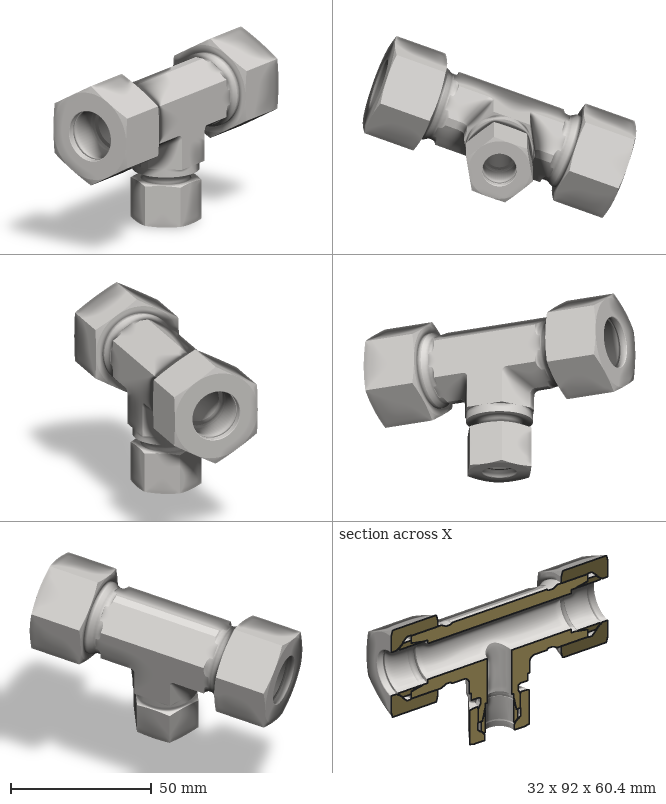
import cadquery as cq
import math


BODY_ACROSS_FLATS = 24.0
BODY_CORNER_HALF = 13.0
INNER_CORNER_RADIUS = 2.0
RUN_FLATS_END = 22.1
BRANCH_FLATS_END = 20.0
BRANCH_FLANGE_DIAMETER = 24.0

UNDERCUT_RADIUS = 1.0
UNDERCUT_LENGTH = 2.3
RUNOUT_ANGLE = 30

NUT_FACE_TO_BODY_END = 8.5
TUBE_STOP_DEPTH = 7.0
SEAT_HALF_ANGLE = 12
RING_INSERTION = 4.4
NUT_LAND_LENGTH = 2.5
NUT_TUBE_CLEARANCE = 0.1
NUT_MOUTH_CHAMFER = 0.2
RING_BACK_GAP = 0.7
NUT_CHAMFER_ANGLE = 15

RUN = {
    "shoulder": 20.1,
    "thread_diameter": 27.0,
    "undercut_diameter": 24.7,
    "bore_diameter": 15.0,
    "tube_diameter": 18.0,
    "seat_diameter": 20.3,
    "ring_diameter": 23.0,
    "nut_across_flats": 32.0,
    "nut_start": 26.0,
    "nut_end": 46.0,
}
BRANCH = {
    "shoulder": 23.0,
    "thread_diameter": 18.0,
    "undercut_diameter": 16.0,
    "bore_diameter": 10.0,
    "tube_diameter": 12.0,
    "seat_diameter": 14.3,
    "ring_diameter": 15.7,
    "nut_across_flats": 22.0,
    "nut_start": 26.5,
    "nut_end": 41.95,
}

RUN_TURNS = (-90, 90)
BRANCH_TURN = 180
CONNECTIONS = [(RUN, turn) for turn in RUN_TURNS] + [(BRANCH, BRANCH_TURN)]


def turned(shape, turn):
    return shape.rotate((0, 0, 0), (1, 0, 0), turn)


def revolved(outline):
    """Revolve an outline drawn as (radius, height) about Z."""
    return outline.close().revolve(360, (0, 0, 0), (0, 1, 0))


def hexagon(across_flats, start, end):
    """Hexagonal prism along Z with two flats on +X and -X."""
    corner_diameter = across_flats / math.cos(math.pi / 6)
    prism = cq.Workplane("XY").polygon(6, corner_diameter).extrude(end - start)
    return prism.rotate((0, 0, 0), (0, 0, 1), 90).translate((0, 0, start))


def cylinder(diameter, start, end):
    return cq.Workplane("XY").workplane(offset=start).circle(diameter / 2).extrude(end - start)


def body_end(size):
    return size["nut_end"] - NUT_FACE_TO_BODY_END


def body_prism(length):
    """Hexagonal bar from the tee centre with the corners on +Y and -Y cut flat."""
    trim = cq.Workplane("XY").box(
        2 * BODY_ACROSS_FLATS, 2 * BODY_CORNER_HALF, length, centered=(True, True, False)
    )
    return hexagon(BODY_ACROSS_FLATS, 0, length).intersect(trim)


def threaded_end(size):
    """Undercut and threaded cylinder from the shoulder to the end of the body."""
    shoulder = size["shoulder"]
    thread_radius = size["thread_diameter"] / 2
    neck_radius = size["undercut_diameter"] / 2
    neck_start = shoulder + UNDERCUT_RADIUS
    neck_end = shoulder + UNDERCUT_LENGTH
    angle = math.radians(RUNOUT_ANGLE)
    arc_middle = math.pi / 4
    runout_radius = neck_radius + UNDERCUT_RADIUS * (1 - math.cos(angle))
    runout_start = neck_end + UNDERCUT_RADIUS * math.sin(angle)
    thread_start = runout_start + (thread_radius - runout_radius) / math.tan(angle)
    outline = (
        cq.Workplane("XY")
        .moveTo(0, shoulder)
        .lineTo(neck_radius + UNDERCUT_RADIUS, shoulder)
        .threePointArc(
            (
                neck_radius + UNDERCUT_RADIUS * (1 - math.cos(arc_middle)),
                neck_start - UNDERCUT_RADIUS * math.sin(arc_middle),
            ),
            (neck_radius, neck_start),
        )
        .lineTo(neck_radius, neck_end)
        .threePointArc(
            (
                neck_radius + UNDERCUT_RADIUS * (1 - math.cos(angle / 2)),
                neck_end + UNDERCUT_RADIUS * math.sin(angle / 2),
            ),
            (runout_radius, runout_start),
        )
        .lineTo(thread_radius, thread_start)
        .lineTo(thread_radius, body_end(size))
        .lineTo(0, body_end(size))
    )
    return turned(revolved(outline), 90)


def tube_cavity(size):
    """Bore from the tee centre, tube socket and seat cone."""
    end = body_end(size)
    tube_radius = size["tube_diameter"] / 2
    bore_radius = size["bore_diameter"] / 2
    seat_radius = size["seat_diameter"] / 2
    seat_length = (seat_radius - tube_radius) / math.tan(math.radians(SEAT_HALF_ANGLE))
    outline = cq.Workplane("XY").polyline(
        [
            (0, 0),
            (bore_radius, 0),
            (bore_radius, end - TUBE_STOP_DEPTH),
            (tube_radius, end - TUBE_STOP_DEPTH),
            (tube_radius, end - seat_length),
            (seat_radius, end),
            (0, end),
        ]
    )
    return turned(revolved(outline), 90)


def make_tee_block():
    """The hexagonal run and branch with filleted inner corners."""
    block = turned(body_prism(BRANCH_FLATS_END), BRANCH_TURN)
    for turn in RUN_TURNS:
        block = block.union(turned(body_prism(RUN["shoulder"]), turn))
    block = block.clean()

    def in_mitre_plane(edge):
        centre = edge.Center()
        return centre.z < 0 and math.isclose(abs(centre.y), -centre.z, abs_tol=0.001)

    return block.edges().filter(in_mitre_plane).fillet(INNER_CORNER_RADIUS)


def make_tee_body():
    body = make_tee_block()

    run_end = threaded_end(RUN).intersect(
        body_prism(RUN_FLATS_END).union(
            cylinder(RUN["thread_diameter"], RUN_FLATS_END, body_end(RUN))
        )
    )
    for turn in RUN_TURNS:
        body = body.union(turned(run_end, turn))

    flange = cylinder(BRANCH_FLANGE_DIAMETER, BRANCH_FLATS_END, BRANCH["shoulder"])
    body = body.union(turned(flange.union(threaded_end(BRANCH)), BRANCH_TURN))

    for size, turn in CONNECTIONS:
        body = body.cut(turned(tube_cavity(size), turn))
    return body


def make_cutting_ring(size):
    """Ring with a front taper in the seat cone and a 45 degree back against the nut."""
    end = body_end(size)
    tube_radius = size["tube_diameter"] / 2
    seat_radius = size["seat_diameter"] / 2
    ring_radius = size["ring_diameter"] / 2
    tip_radius = seat_radius - RING_INSERTION * math.tan(math.radians(SEAT_HALF_ANGLE))
    back_radius = tube_radius + NUT_TUBE_CLEARANCE + RING_BACK_GAP
    back = size["nut_end"] - NUT_LAND_LENGTH - RING_BACK_GAP
    outline = cq.Workplane("XY").polyline(
        [
            (tube_radius, end - RING_INSERTION),
            (tip_radius, end - RING_INSERTION),
            (seat_radius, end),
            (ring_radius, end),
            (ring_radius, back - (ring_radius - back_radius)),
            (back_radius, back),
            (tube_radius, back),
        ]
    )
    return turned(revolved(outline), 90)


def make_union_nut(size):
    """Hexagon nut with chamfered corners, a thread bore and a 45 degree pressing cone."""
    start = size["nut_start"]
    end = size["nut_end"]
    flat_radius = size["nut_across_flats"] / 2
    corner_radius = flat_radius / math.cos(math.pi / 6)
    chamfer = (corner_radius - flat_radius) * math.tan(math.radians(NUT_CHAMFER_ANGLE))
    envelope = cq.Workplane("XY").polyline(
        [
            (0, start),
            (flat_radius, start),
            (corner_radius, start + chamfer),
            (corner_radius, end - chamfer),
            (flat_radius, end),
            (0, end),
        ]
    )
    nut = hexagon(size["nut_across_flats"], start, end).intersect(turned(revolved(envelope), 90))

    thread_radius = size["thread_diameter"] / 2
    land_radius = size["tube_diameter"] / 2 + NUT_TUBE_CLEARANCE
    land_start = end - NUT_LAND_LENGTH
    cavity = cq.Workplane("XY").polyline(
        [
            (0, start),
            (thread_radius, start),
            (thread_radius, land_start - (thread_radius - land_radius)),
            (land_radius, land_start),
            (land_radius, end - NUT_MOUTH_CHAMFER),
            (land_radius + NUT_MOUTH_CHAMFER, end),
            (0, end),
        ]
    )
    return nut.cut(turned(revolved(cavity), 90))


tee_body = make_tee_body()
cutting_rings = [turned(make_cutting_ring(size), turn) for size, turn in CONNECTIONS]
union_nuts = [turned(make_union_nut(size), turn) for size, turn in CONNECTIONS]

result = cq.Compound.makeCompound(
    [tee_body.val()] + [part.val() for part in cutting_rings + union_nuts]
)